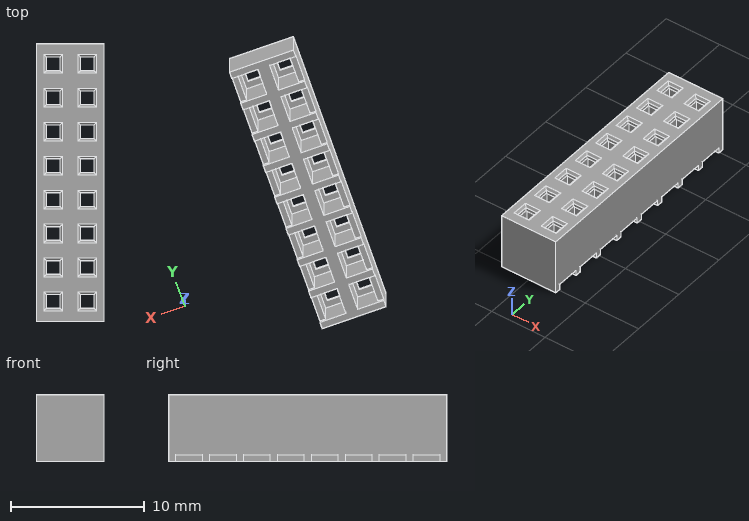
import cadquery as cq

pitch = 2.54
columns = 2
rows = 8
extra_length = 0.5
height = 5.0

mouth_width = 1.4
throat_width = 1.0
lead_in_depth = 0.2
throat_depth = 0.3

cavity_length = 2.0
cavity_width = 1.6
notch_height = 0.5

body_width = columns * pitch
body_length = rows * pitch + extra_length
lead_in_base = height - lead_in_depth
cavity_top = lead_in_base - throat_depth
notch_depth = pitch / 2

column_positions = [(i - (columns - 1) / 2) * pitch for i in range(columns)]
row_positions = [(i - (rows - 1) / 2) * pitch for i in range(rows)]


def block(x_size, y_size, z_size):
    """Box centred on the Z axis and standing on the XY plane."""
    return cq.Workplane("XY").box(x_size, y_size, z_size, centered=(True, True, False))


def lead_in():
    """Square funnel from the throat up to the mouth at the top face."""
    return (
        cq.Workplane("XY", origin=(0, 0, lead_in_base))
        .rect(throat_width, throat_width)
        .workplane(offset=lead_in_depth)
        .rect(mouth_width, mouth_width)
        .loft(ruled=True)
    )


def socket():
    """Contact passage through the full height: lead-in, throat and cavity."""
    throat = block(throat_width, throat_width, lead_in_base)
    cavity = block(cavity_width, cavity_length, cavity_top)
    return throat.union(cavity).union(lead_in())


def side_notch(side):
    """Bottom notch from the contact axis out to the long face; side is -1 or +1 along X."""
    notch = block(notch_depth, cavity_length, notch_height)
    return notch.translate((side * notch_depth / 2, 0, 0))


result = block(body_width, body_length, height)
for x in column_positions:
    outward = 1 if x > 0 else -1
    contact_space = socket().union(side_notch(outward))
    for y in row_positions:
        result = result.cut(contact_space.translate((x, y, 0)))